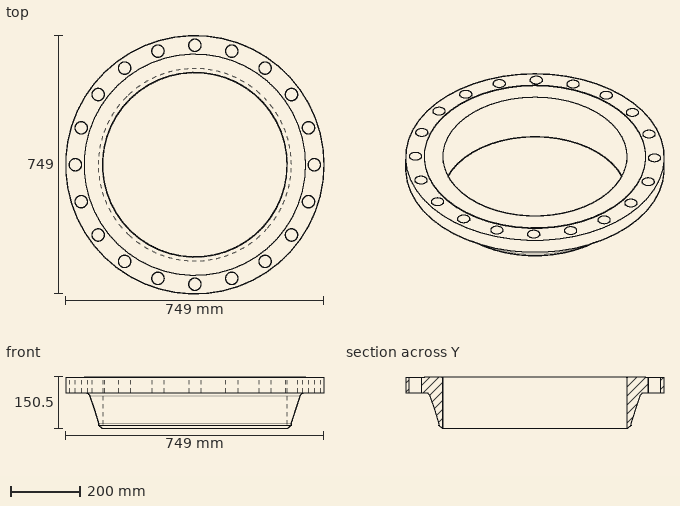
import cadquery as cq

flange_diameter = 749.0
total_height = 150.5
flange_underside_z = 103.5
bore_diameter = 533.5

face_diameter = 641.5
face_height = 2.0

hub_top_diameter = 616.0
weld_end_diameter = 559.0
taper_start_z = 16.0
bevel_height = 10.0
bevel_width = 11.0
hub_fillet_radius = 12.0

bolt_count = 20
bolt_circle_diameter = 692.0
bolt_hole_diameter = 35.0

flange_radius = flange_diameter / 2
bore_radius = bore_diameter / 2
face_radius = face_diameter / 2
hub_top_radius = hub_top_diameter / 2
weld_end_radius = weld_end_diameter / 2
flange_top_z = total_height - face_height


def flange_body():
    """Revolve the half section of the flange, hub and raised face around Z."""
    section = [
        (bore_radius, 0),
        (weld_end_radius - bevel_width, 0),
        (weld_end_radius, bevel_height),
        (weld_end_radius, taper_start_z),
        (hub_top_radius, flange_underside_z),
        (flange_radius, flange_underside_z),
        (flange_radius, flange_top_z),
        (face_radius, flange_top_z),
        (face_radius, total_height),
        (bore_radius, total_height),
    ]
    return cq.Workplane("XZ").polyline(section).close().revolve(360, (0, 0, 0), (0, 1, 0))


def round_hub_root(body):
    """Fillet the inner corner where the hub meets the flange underside."""
    root_edge = cq.selectors.RadiusNthSelector(0)
    underside = body.faces(cq.selectors.NearestToPointSelector(
        ((hub_top_radius + flange_radius) / 2, 0, flange_underside_z)))
    return underside.edges(root_edge).fillet(hub_fillet_radius)


def bolt_holes():
    """Ring of through-hole cutters, the first one on the X axis."""
    return (
        cq.Workplane("XY")
        .polarArray(bolt_circle_diameter / 2, 0, 360, bolt_count)
        .circle(bolt_hole_diameter / 2)
        .extrude(total_height)
    )


result = round_hub_root(flange_body()).cut(bolt_holes())